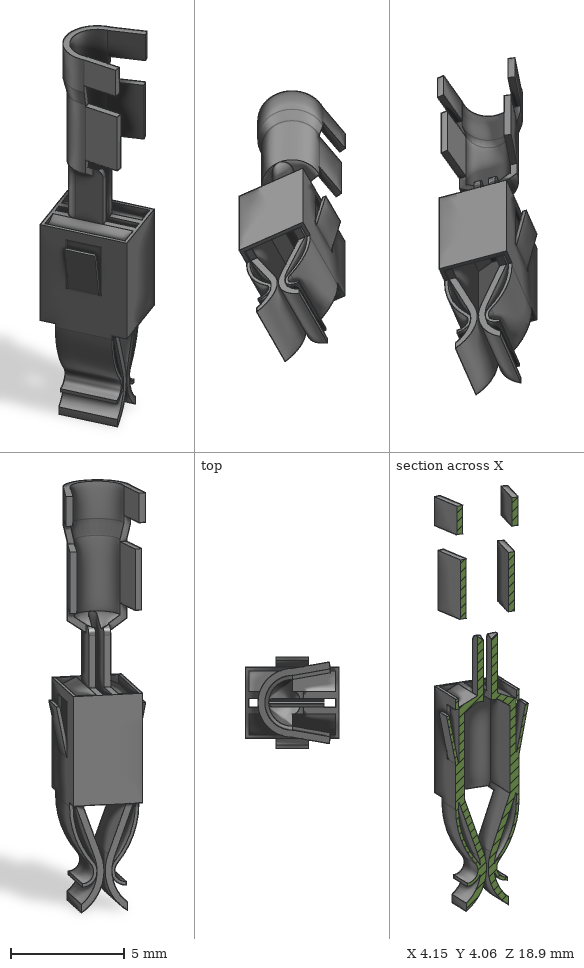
import cadquery as cq
import math


box_x = 4.15
box_y = 3.15
box_height = 4.96
box_wall = 0.16
inside_x = box_x - 2 * box_wall
inside_y = box_y - 2 * box_wall

latch_width = 1.45
latch_window_width = 1.68
latch_bottom = 1.95
latch_tip_z = 4.23
latch_window_top = 4.46
latch_span = 4.06

sheet = 0.31
slot_half = 0.19
roof_drop = 0.4
arm_width = 2.81
arm_tilt = math.radians(20)
shoulder_z = -0.05
neck_gap_half = 0.03
neck_radius = 2.03
foot_y = 1.05
foot_z = -4.99

spring_width = 2.7
spring_start_z = -0.18
spring_radius = 4.1
lip_radius = 0.52
spring_overlap = 0.02

total_height = 18.92
top_z = foot_z + total_height
insulation_radius = 1.52
insulation_height = 1.69
insulation_wing_height = 1.34
wire_radius = 1.345
wire_top_z = 11.51
wire_bottom_z = 7.93
wire_wing_top_z = 11.41
wire_wing_bottom_z = 8.63
wing_length = 1.66
wing_angle = 10.0

stem_radius = slot_half + sheet
stem_front_x = 0.49
stem_corner_radius = 0.4
funnel_bottom_z = 7.35


def mirrored(solid):
    """Join a solid with its mirror image across the XZ plane."""
    return solid.union(solid.mirror("XZ"))


def block(x_range, y_range, z_range):
    """Axis-aligned block spanning three (low, high) ranges."""
    sizes = [high - low for low, high in (x_range, y_range, z_range)]
    corner = (x_range[0], y_range[0], z_range[0])
    return cq.Workplane("XY").box(*sizes, centered=False).translate(corner)


def arc_point(center, radius, angle):
    """Point of a circle in the YZ plane, angle measured from +Y toward +Z."""
    return (center[0] + radius * math.cos(angle), center[1] + radius * math.sin(angle))


def extrude_across(profile, width):
    """Extrude a closed YZ profile symmetrically along X."""
    return profile.close().extrude(width / 2, both=True)


def make_box():
    """Sleeve with a window behind each latch."""
    sleeve = cq.Workplane("XY").rect(box_x, box_y).rect(inside_x, inside_y).extrude(box_height)
    half_window = latch_window_width / 2
    windows = block((-half_window, half_window), (-box_y, box_y), (latch_bottom, latch_window_top))
    return sleeve.cut(windows)


def make_latches():
    """Tongues leaning outward from the lower edge of each window."""
    outer_y = box_y / 2
    tip_y = latch_span / 2
    profile = cq.Workplane("YZ").polyline([
        (outer_y - box_wall, latch_bottom),
        (outer_y, latch_bottom),
        (tip_y, latch_tip_z),
        (tip_y - box_wall, latch_tip_z),
    ])
    return mirrored(extrude_across(profile, latch_width))


def make_contacts():
    """Sheet that folds out from the slot, lines the box wall and narrows into a sprung arm."""
    wall_outer = inside_y / 2
    wall_inner = wall_outer - sheet

    near_radius = neck_radius - sheet / 2
    far_radius = neck_radius + sheet / 2
    bend_y = neck_gap_half + far_radius
    foot_offset = bend_y - foot_y
    bend_z = foot_z + math.sqrt(far_radius ** 2 - foot_offset ** 2)
    bend = (bend_y, bend_z)

    arm_angle = math.pi - arm_tilt
    far_start = arc_point(bend, far_radius, arm_angle)
    near_start = arc_point(bend, near_radius, arm_angle)
    far_end = (foot_y, foot_z)
    near_end = (foot_y, bend_z - math.sqrt(near_radius ** 2 - foot_offset ** 2))

    def knee(start, wall_y):
        """Where the straight arm flank through start meets the vertical wall face."""
        return (wall_y, start[1] + (wall_y - start[0]) / math.tan(arm_tilt))

    roof_bottom = box_height - sheet
    profile = (
        cq.Workplane("YZ")
        .moveTo(slot_half, box_height)
        .lineTo(stem_radius, box_height)
        .lineTo(wall_outer, box_height - roof_drop)
        .lineTo(*knee(near_start, wall_outer))
        .lineTo(*near_start)
        .threePointArc(arc_point(bend, near_radius, math.pi), near_end)
        .lineTo(*far_end)
        .threePointArc(arc_point(bend, far_radius, math.pi), far_start)
        .lineTo(*knee(far_start, wall_inner))
        .lineTo(wall_inner, roof_bottom - roof_drop)
        .lineTo(stem_radius, roof_bottom)
        .lineTo(slot_half, roof_bottom)
    )
    contact = extrude_across(profile, inside_x)

    for side in (-1, 1):
        inner_x = side * arm_width / 2
        outer_x = side * box_x
        x_range = (min(inner_x, outer_x), max(inner_x, outer_x))
        contact = contact.cut(block(x_range, (-box_y, box_y), (foot_z - sheet, shoulder_z)))
    return mirrored(contact)


def make_springs():
    """Curved blades that bow inward, touch the contact arms and end in an outward lip."""
    outer_y = box_y / 2
    inner_y = outer_y - box_wall
    bow = (outer_y - spring_radius, spring_start_z)
    bow_inner_radius = spring_radius - box_wall
    lip_outer_radius = lip_radius + box_wall

    lip_y = neck_gap_half + sheet - spring_overlap + lip_outer_radius
    center_distance = spring_radius + lip_radius
    turn = math.acos((lip_y - bow[0]) / center_distance)
    lip = arc_point(bow, center_distance, -turn)

    profile = (
        cq.Workplane("YZ")
        .moveTo(inner_y, 0)
        .lineTo(outer_y, 0)
        .lineTo(outer_y, spring_start_z)
        .threePointArc(arc_point(bow, spring_radius, -turn / 2), arc_point(bow, spring_radius, -turn))
        .threePointArc(arc_point(lip, lip_radius, math.pi), arc_point(lip, lip_radius, -math.pi / 2))
        .lineTo(lip[0], lip[1] - lip_outer_radius)
        .threePointArc(
            arc_point(lip, lip_outer_radius, math.pi), arc_point(bow, bow_inner_radius, -turn)
        )
        .threePointArc(arc_point(bow, bow_inner_radius, -turn / 2), (inner_y, spring_start_z))
    )
    return mirrored(extrude_across(profile, spring_width))


def turned(outline):
    """Full turn about the Z axis of an outline given as (radius, z) points."""
    return cq.Workplane("XZ").polyline(outline).close().revolve(360, (0, 0, 0), (0, 1, 0))


def make_wings(radius, bottom_z, height):
    """Pair of flat crimp wings continuing a barrel of the given outer radius."""
    root_overlap = sheet * math.tan(math.radians(wing_angle))
    wing = block((-root_overlap, wing_length), (-sheet, 0), (bottom_z, bottom_z + height))
    wing = wing.rotate((0, 0, 0), (0, 0, 1), wing_angle).translate((0, radius, 0))
    return mirrored(wing)


def make_stem(front_top_z):
    """Solid round-backed stem; ahead of X = 0 it is lower and its upper corner is rounded."""
    back_x = stem_radius - wire_radius
    stem_base_z = box_height - sheet
    stem = (
        cq.Workplane("XY")
        .workplane(offset=stem_base_z)
        .moveTo(stem_front_x, stem_radius)
        .lineTo(back_x, stem_radius)
        .threePointArc((-wire_radius, 0), (back_x, -stem_radius))
        .lineTo(stem_front_x, -stem_radius)
        .close()
        .extrude(wire_bottom_z - stem_base_z)
    )
    front = block((0, wing_length), (-stem_radius, stem_radius), (front_top_z, wire_bottom_z))
    stem = stem.cut(front)
    return stem.faces(">X").edges(">Z").fillet(stem_corner_radius)


def make_channel():
    """Slot that runs up the inside of the stem and opens through its front."""
    back_x = stem_radius - wire_radius
    return (
        cq.Workplane("XY")
        .workplane(offset=box_height - 2 * sheet)
        .moveTo(wing_length, slot_half)
        .lineTo(back_x, slot_half)
        .threePointArc((back_x - slot_half, 0), (back_x, -slot_half))
        .lineTo(wing_length, -slot_half)
        .close()
        .extrude(wire_top_z - box_height)
    )


def make_crimp():
    """Insulation barrel, wire barrel, funnel and stem with their hollow removed."""
    insulation_bottom = top_z - insulation_height
    funnel_slope = (wire_bottom_z - funnel_bottom_z) / (wire_radius - stem_radius)
    funnel_thickness = sheet * math.hypot(1, funnel_slope)
    hollow_bottom = funnel_bottom_z + funnel_thickness
    wire_inner = wire_radius - sheet
    hollow_funnel_top = hollow_bottom + funnel_slope * (wire_inner - stem_radius)
    insulation_inner = insulation_radius - sheet

    funnel_tip = hollow_bottom - funnel_slope * stem_radius

    outside = turned([
        (0, top_z),
        (insulation_radius, top_z),
        (insulation_radius, insulation_bottom),
        (wire_radius, wire_top_z),
        (wire_radius, wire_bottom_z),
        (stem_radius, funnel_bottom_z),
        (0, funnel_bottom_z),
    ])
    front_half = block((0, box_x), (-box_x, box_x), (0, top_z))
    outside = outside.cut(front_half)
    hollow = turned([
        (0, top_z),
        (insulation_inner, top_z),
        (insulation_inner, insulation_bottom),
        (wire_inner, wire_top_z),
        (wire_inner, hollow_funnel_top),
        (0, funnel_tip),
    ])
    body = outside.union(make_stem(hollow_bottom)).cut(hollow).cut(make_channel())
    insulation_wings = make_wings(
        insulation_radius, top_z - insulation_wing_height, insulation_wing_height
    )
    wire_wings = make_wings(wire_radius, wire_wing_bottom_z, wire_wing_top_z - wire_wing_bottom_z)
    return body.union(insulation_wings).union(wire_wings)


result = (
    make_box()
    .union(make_latches())
    .union(make_contacts())
    .union(make_springs())
    .union(make_crimp())
)